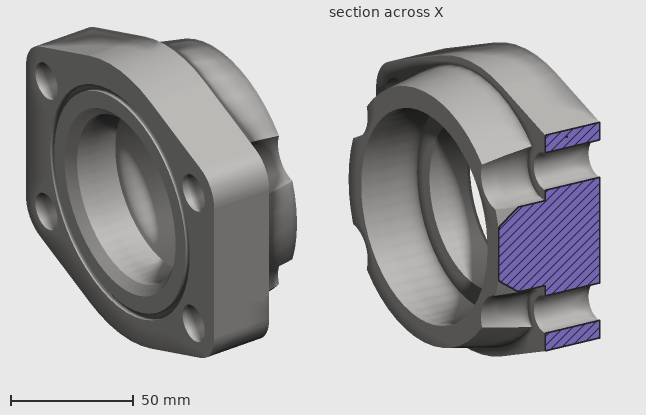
import cadquery as cq
import math

width = 136.0
crown_radius = 62.5
flange_thickness = 27.0
hole_x = 53.2
hole_z = 31.0
hole_diameter = 16.0
corner_radius = width / 2 - hole_x

total_depth = 50.0
neck_base_radius = 58.8
neck_end_radius = 54.4
bolt_clearance_radius = 12.5

bore_radius = 36.5
bore_mouth_radius = 40.1
bore_mouth_depth = 3.7
socket_radius = 45.3
socket_start = 22.5
groove_outer_radius = 50.3
groove_inner_radius = 47.5
groove_depth = 2.0

hole_centres = [(sx * hole_x, sz * hole_z) for sx in (-1, 1) for sz in (-1, 1)]


def cylinder(radius, start, end):
    """Cylinder along the Y axis between two depths."""
    return cq.Workplane("XZ", origin=(0, start, 0)).circle(radius).extrude(start - end)


def cone(start_radius, end_radius, start, end):
    """Truncated cone along the Y axis between two depths."""
    profile = [(0, start), (start_radius, start), (end_radius, end), (0, end)]
    return cq.Workplane("XY").polyline(profile).close().revolve(360, (0, 0, 0), (0, 1, 0))


def flange():
    """Plate whose crown and corner arcs are joined by their common tangents."""
    normal_angle = math.atan2(hole_z, hole_x) + math.acos(
        (crown_radius - corner_radius) / math.hypot(hole_x, hole_z)
    )

    def corner_point(angle):
        return (hole_x + corner_radius * math.cos(angle), hole_z + corner_radius * math.sin(angle))

    crown_x = crown_radius * math.cos(normal_angle)
    crown_z = crown_radius * math.sin(normal_angle)
    side_x, side_z = corner_point(0)
    mid_x, mid_z = corner_point(normal_angle / 2)
    end_x, end_z = corner_point(normal_angle)
    return (
        cq.Workplane("XZ")
        .moveTo(side_x, -side_z)
        .lineTo(side_x, side_z)
        .threePointArc((mid_x, mid_z), (end_x, end_z))
        .lineTo(crown_x, crown_z)
        .threePointArc((0, crown_radius), (-crown_x, crown_z))
        .lineTo(-end_x, end_z)
        .threePointArc((-mid_x, mid_z), (-side_x, side_z))
        .lineTo(-side_x, -side_z)
        .threePointArc((-mid_x, -mid_z), (-end_x, -end_z))
        .lineTo(-crown_x, -crown_z)
        .threePointArc((0, -crown_radius), (crown_x, -crown_z))
        .lineTo(end_x, -end_z)
        .threePointArc((mid_x, -mid_z), (side_x, -side_z))
        .close()
        .extrude(-flange_thickness)
    )


def neck():
    """Tapered neck, scalloped to clear the bolt heads."""
    clearance = (
        cq.Workplane("XZ", origin=(0, flange_thickness, 0))
        .pushPoints(hole_centres)
        .circle(bolt_clearance_radius)
        .extrude(flange_thickness - total_depth)
    )
    return cone(neck_base_radius, neck_end_radius, flange_thickness, total_depth).cut(clearance)


def bolt_holes():
    return (
        cq.Workplane("XZ")
        .pushPoints(hole_centres)
        .circle(hole_diameter / 2)
        .extrude(-flange_thickness)
    )


def seal_groove():
    return cylinder(groove_outer_radius, 0, groove_depth).cut(
        cylinder(groove_inner_radius, 0, groove_depth)
    )


def bore():
    """Through bore with a conical mouth at the sealing face and a wider socket at the rear."""
    mouth = cone(bore_mouth_radius, bore_radius, 0, bore_mouth_depth)
    socket = cylinder(socket_radius, socket_start, total_depth)
    return cylinder(bore_radius, 0, total_depth).union(mouth).union(socket)


result = flange().union(neck()).cut(bolt_holes()).cut(seal_groove()).cut(bore())